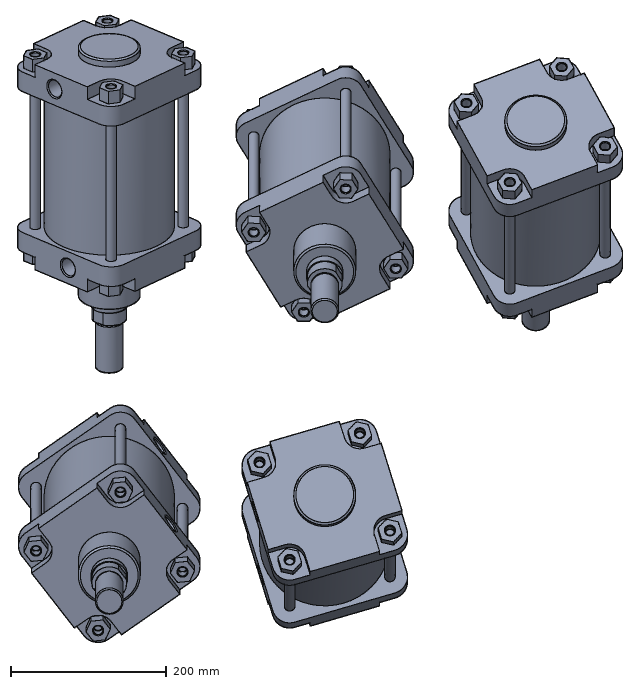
import cadquery as cq
import math


overall_height = 462.0
top_boss_height = 10.0
bottom_boss_height = 55.0
cap_height = 46.0
barrel_length = 202.5

cap_side = 180.0
tie_rod_offset = 67.5
cap_corner_radius = cap_side / 2 - tie_rod_offset
corner_pocket_depth = 18.0
corner_pocket_radius = 21.0
boss_diameter = 80.0
boss_chamfer_height = 2.0
boss_chamfer_width = 3.0

port_diameter = 23.5
port_chamfer = 1.6
port_depth = 37.0
port_offset = 12.0

barrel_diameter = 168.0

tie_rod_diameter = 14.0
head_across_flats = 27.3
head_across_corners = head_across_flats / math.cos(math.pi / 6)
socket_diameter = 12.0
socket_chamfer = 1.15
socket_chamfer_angle = 90

collar_diameter = 47.0
collar_length = 12.5
wrench_diameter = 45.0
wrench_length = 18.5
wrench_across_flats = 41.5
neck_diameter = 33.3
neck_length = 2.5
thread_diameter = 36.0
thread_chamfer = 2.0

top_face_z = overall_height - top_boss_height
barrel_top_z = top_face_z - cap_height
barrel_bottom_z = barrel_top_z - barrel_length
bottom_face_z = barrel_bottom_z - cap_height
rod_start_z = bottom_face_z - bottom_boss_height

tie_rod_points = [(x * tie_rod_offset, y * tie_rod_offset) for x in (-1, 1) for y in (-1, 1)]


def corner_pocket(x, y):
    """Cutter opening a cap corner: square outward, rounded around the tie rod toward the axis."""
    inner_corner = tie_rod_offset - corner_pocket_radius
    reach = cap_side / 2 - inner_corner
    block = cq.Workplane("XY").box(reach, reach, corner_pocket_depth, centered=False)
    block = block.translate((inner_corner, inner_corner, 0))
    block = block.edges("|Z and <X and <Y").fillet(corner_pocket_radius)
    if x < 0:
        block = block.mirror("YZ")
    if y < 0:
        block = block.mirror("XZ")
    return block


def make_cap(boss_height, port_x):
    """End cap with its inner face on Z = 0 and its boss pointing up."""
    cap = cq.Workplane("XY").box(cap_side, cap_side, cap_height, centered=(True, True, False))
    cap = cap.edges("|Z").fillet(cap_corner_radius)

    for x, y in tie_rod_points:
        cap = cap.cut(corner_pocket(x, y).translate((0, 0, cap_height - corner_pocket_depth)))

    boss = cq.Workplane("XY").workplane(offset=cap_height).circle(boss_diameter / 2).extrude(boss_height)
    boss = boss.faces(">Z").edges().chamfer(boss_chamfer_height, boss_chamfer_width)
    cap = cap.union(boss)

    tie_rod_holes = cq.Workplane("XY").pushPoints(tie_rod_points)
    cap = cap.cut(tie_rod_holes.circle(tie_rod_diameter / 2).extrude(cap_height))

    return cap.cut(make_port(port_x))


def make_port(port_x):
    """Cutter for a blind round port with a chamfered mouth, halfway up a cap."""
    radius = port_diameter / 2
    mouth_radius = radius + port_chamfer
    profile = (
        cq.Workplane("XY")
        .polyline([(0, 0), (mouth_radius, 0), (radius, port_chamfer), (radius, port_depth), (0, port_depth)])
        .close()
    )
    return profile.revolve(360, (0, 0), (0, 1)).translate((port_x, -cap_side / 2, cap_height / 2))


def make_barrel():
    """Plain round barrel between the inner faces of the caps."""
    base = cq.Workplane("XY").workplane(offset=barrel_bottom_z)
    return base.circle(barrel_diameter / 2).extrude(barrel_length)


def make_tie_rod(x, y):
    """Round rod through both caps, with a socketed hexagonal head in each corner pocket."""
    head_height = corner_pocket_depth
    length = top_face_z - bottom_face_z
    rod = cq.Workplane("XY").circle(tie_rod_diameter / 2).extrude(length)
    for head_z in (0, length - head_height):
        head = cq.Workplane("XY").polygon(6, head_across_corners).extrude(head_height)
        rod = rod.union(head.translate((0, 0, head_z)))
    socket_mouth = socket_diameter + 2 * socket_chamfer
    for end in (">Z", "<Z"):
        end_face = rod.faces(end).workplane()
        rod = end_face.cskHole(socket_diameter, socket_mouth, socket_chamfer_angle, head_height)
    return rod.translate((x, y, bottom_face_z))


def make_piston_rod():
    """Stepped rod end: collar, wrench flats, neck and threaded end, all below the bottom boss."""
    collar_end_z = rod_start_z - collar_length
    wrench_end_z = collar_end_z - wrench_length
    thread_start_z = wrench_end_z - neck_length

    collar = cq.Workplane("XY").workplane(offset=collar_end_z)
    collar = collar.circle(collar_diameter / 2).extrude(collar_length)
    wrench_round = cq.Workplane("XY").circle(wrench_diameter / 2).extrude(wrench_length)
    wrench_flats = cq.Workplane("XY").rect(wrench_diameter, wrench_across_flats).extrude(wrench_length)
    wrench = wrench_round.intersect(wrench_flats).translate((0, 0, wrench_end_z))
    neck = cq.Workplane("XY").workplane(offset=thread_start_z).circle(neck_diameter / 2).extrude(neck_length)
    thread = cq.Workplane("XY").circle(thread_diameter / 2).extrude(thread_start_z)
    thread = thread.faces("<Z or >Z").edges().chamfer(thread_chamfer)
    return collar.union(wrench).union(neck).union(thread)


top_cap = make_cap(top_boss_height, -port_offset).translate((0, 0, barrel_top_z))

bottom_cap = make_cap(bottom_boss_height, -port_offset).rotate((0, 0, 0), (0, 1, 0), 180)
bottom_cap = bottom_cap.translate((0, 0, barrel_bottom_z))

barrel = make_barrel()

tie_rods = [make_tie_rod(x, y) for x, y in tie_rod_points]

piston_rod = make_piston_rod()

result = cq.Compound.makeCompound([
    top_cap.val(),
    bottom_cap.val(),
    barrel.val(),
    *[tie_rod.val() for tie_rod in tie_rods],
    piston_rod.val(),
])